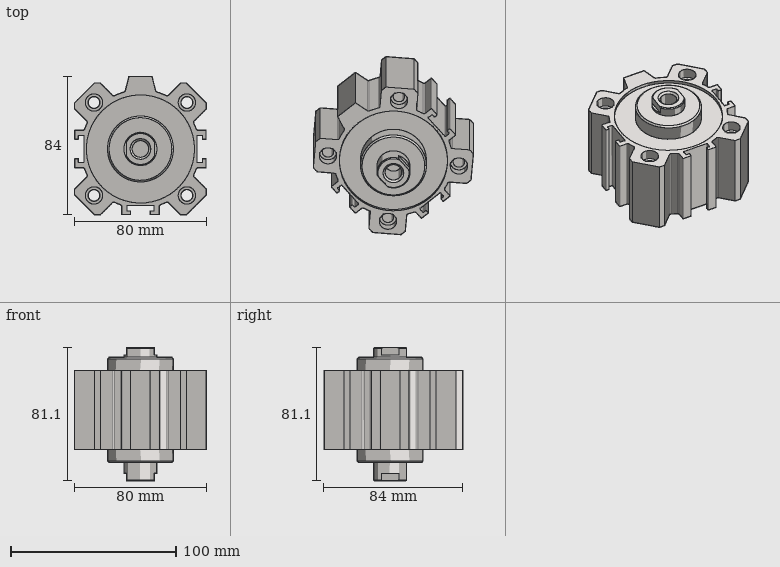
import cadquery as cq
import math

housing_height = 48.0
boss_height = 8.0
boss_diameter = 40.0
boss_chamfer = 1.0
recess_diameter = 65.5
recess_depth = 2.0

barrel_radius = 35.95
joint_fillet = 1.1

lug_width = 22.2
lug_reach = 48.0
lug_limit = 80.0

rib_span = 22.85
rib_reach = 39.8
slot_width = 16.2
slot_floor = 34.3
slot_mouth = 11.8
lip_thickness = 2.3
rib_fillet = 0.25

spine_reach = 44.0
spine_top_width = 14.1
spine_slope = 0.25

bolt_offset = 28.1
bolt_diameter = 7.0
counterbore_diameter = 10.5
counterbore_depth = 6.5

rod_diameter = 20.0
rod_top_extension = 6.0
rod_bottom_extension = 11.1
rod_chamfer = 0.6
flat_width = 17.0
flat_length = 4.6
thread_hole_diameter = 10.1
thread_hole_depth = 15.0
thread_mouth_diameter = 12.5

same_radius = 0.01

boss_bottom = -boss_height
boss_top = housing_height + boss_height
rod_bottom = boss_bottom - rod_bottom_extension
rod_length = boss_top + rod_top_extension - rod_bottom
slot_angles = (90, 180, 270)


def cylinder(diameter, bottom, height):
    return cq.Workplane("XY").workplane(offset=bottom).circle(diameter / 2).extrude(height)


def turned(shape, angle):
    return shape.rotate((0, 0, 0), (0, 0, 1), angle)


def bar(width, inner, outer):
    """Full-height bar centred on the YZ plane, between two distances along +Y."""
    return (
        cq.Workplane("XY")
        .center(0, (inner + outer) / 2)
        .rect(width, outer - inner)
        .extrude(housing_height)
    )


def corner_lugs():
    cross = bar(lug_width, -lug_reach, lug_reach)
    lugs = turned(cross, 45).union(turned(cross, -45))
    return lugs.intersect(cq.Workplane("XY").rect(lug_limit, lug_limit).extrude(housing_height))


def spine():
    top = spine_top_width / 2
    base = top + spine_slope * spine_reach
    points = [(-base, 0), (base, 0), (top, spine_reach), (-top, spine_reach)]
    return cq.Workplane("XY").polyline(points).close().extrude(housing_height)


def sensor_slot():
    cavity = bar(slot_width, slot_floor, rib_reach - lip_thickness)
    return cavity.union(bar(slot_mouth, slot_floor, rib_reach))


def slotted_rail():
    """Pair of hooked ribs with a sensor slot between them, on the +Y side."""
    rail = bar(rib_span, 0, rib_reach).cut(sensor_slot())
    return rail.edges("|Z and (not <Y)").fillet(rib_fillet)


def round_joints(profile):
    """Round the upright inner corners, which all lie on the barrel's surface."""
    corners = [
        edge
        for edge in profile.edges("|Z").vals()
        if abs(math.hypot(edge.Center().x, edge.Center().y) - barrel_radius) < same_radius
    ]
    return profile.newObject(corners).fillet(joint_fillet)


def housing_profile():
    profile = cylinder(2 * barrel_radius, 0, housing_height).union(corner_lugs()).union(spine())
    for angle in slot_angles:
        profile = profile.cut(turned(sensor_slot(), angle)).union(turned(slotted_rail(), angle))
    return round_joints(profile)


def end_recesses():
    lower = cylinder(recess_diameter, 0, recess_depth)
    upper = cylinder(recess_diameter, housing_height - recess_depth, recess_depth)
    return lower.union(upper)


def bosses():
    core = cylinder(boss_diameter, boss_bottom, boss_top - boss_bottom)
    return core.faces("<Z or >Z").chamfer(boss_chamfer)


def bolt_holes():
    step = 2 * bolt_offset

    def drill(diameter, bottom, height):
        plane = cq.Workplane("XY").workplane(offset=bottom)
        return plane.rarray(step, step, 2, 2).circle(diameter / 2).extrude(height)

    holes = drill(bolt_diameter, 0, housing_height)
    holes = holes.union(drill(counterbore_diameter, 0, counterbore_depth))
    upper_floor = housing_height - counterbore_depth
    return holes.union(drill(counterbore_diameter, upper_floor, counterbore_depth))


def make_housing():
    body = housing_profile().cut(end_recesses()).union(bosses()).cut(bolt_holes())
    return body.cut(cylinder(rod_diameter, boss_bottom, boss_top - boss_bottom))


def wrench_flats():
    """The two side slices removed at the rod's lower end."""
    end = cylinder(rod_diameter, rod_bottom, flat_length)
    kept_width = (
        cq.Workplane("XY")
        .workplane(offset=rod_bottom)
        .rect(flat_width, rod_diameter)
        .extrude(flat_length)
    )
    return end.cut(kept_width)


def thread_hole():
    """Blind hole in the rod's lower end, with a 45 degree countersunk mouth."""
    mouth_radius = thread_mouth_diameter / 2
    rim = cq.Vector(0, 0, rod_bottom)
    mouth = cq.Workplane(cq.Solid.makeCone(mouth_radius, 0, mouth_radius, pnt=rim))
    return cylinder(thread_hole_diameter, rod_bottom, thread_hole_depth).union(mouth)


def make_rod():
    rod = cylinder(rod_diameter, rod_bottom, rod_length).faces("<Z or >Z").chamfer(rod_chamfer)
    rod_middle = (0, 0, rod_bottom + rod_length / 2)
    for cutter in (wrench_flats(), thread_hole()):
        rod = rod.cut(cutter).cut(cutter.mirror("XY", rod_middle))
    return rod


housing = make_housing()
rod = make_rod()
result = cq.Compound.makeCompound([housing.val(), rod.val()])